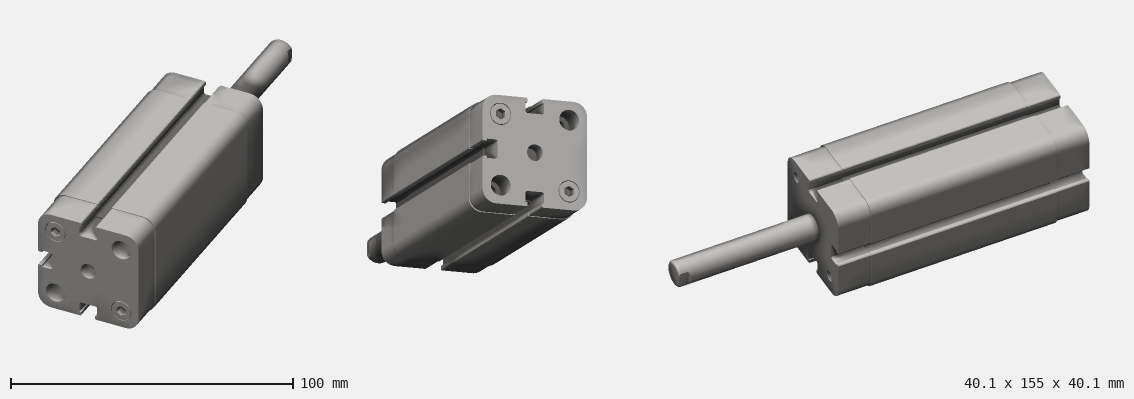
import cadquery as cq
import math

tube_width = 40.1
cap_width = 39.6
body_length = 99.7
rod_end = 155.0
cap_length = 13.0
tube_length = body_length - 2 * cap_length
cap_corner_radius = 5.1
tube_corner_radius = 4.8

tube_slot_mouth = 5.2
cap_slot_mouth = 5.5
slot_inner_width = 7.0
tube_slot_depth = 5.45
cap_slot_depth = 5.85
slot_lip = 1.8
slot_mouth_chamfer = 0.3
slot_floor_chamfer = 0.5

rod_diameter = 10.0
rod_flat_width = 8.0
rod_flat_length = 3.6
rod_end_radius = 1.0

corner_offset = 13.0
through_diameter = 4.13
counterbore_diameter = 7.5
counterbore_depth = 10.0
screw_pocket_diameter = 8.0
screw_head_diameter = 7.5
screw_pocket_depth = 4.5
hex_across_flats = 3.5
hex_depth = 3.0
port_diameter = 6.0
port_depth = 6.0

rod_cap_start = body_length - cap_length


def front_plane(y):
    """Sketch plane at position y along the axis: local x is X, local y is Z, normal is -Y."""
    return cq.Workplane("XZ", origin=(0, y, 0))


def cylinder(x, z, diameter, y_start, length):
    return front_plane(y_start).center(x, z).circle(diameter / 2).extrude(-length)


def rounded_block(width, radius, y_start, length):
    block = front_plane(y_start).rect(width, width).extrude(-length)
    return block.edges("|Y").fillet(radius)


def make_body():
    rear_cap = rounded_block(cap_width, cap_corner_radius, 0, cap_length)
    tube = rounded_block(tube_width, tube_corner_radius, cap_length, tube_length)
    rod_cap = rounded_block(cap_width, cap_corner_radius, rod_cap_start, cap_length)
    return rear_cap.union(tube).union(rod_cap)


def make_top_slot(face_width, mouth_width, depth, y_start, length):
    """T-slot cutter for the top face, with chamfered mouth edges and floor corners."""
    face = face_width / 2
    floor = tube_width / 2 - depth
    lip_bottom = tube_width / 2 - slot_lip
    mouth = mouth_width / 2
    inner = slot_inner_width / 2
    right_half = [
        (mouth + slot_mouth_chamfer, face),
        (mouth, face - slot_mouth_chamfer),
        (mouth, lip_bottom),
        (inner, lip_bottom),
        (inner, floor + slot_floor_chamfer),
        (inner - slot_floor_chamfer, floor),
    ]
    left_half = [(-x, z) for x, z in reversed(right_half)]
    return front_plane(y_start).polyline(right_half + left_half).close().extrude(-length)


def make_rod():
    radius = rod_diameter / 2
    rod = cylinder(0, 0, rod_diameter, body_length, rod_end - body_length)
    rod = rod.faces(">Y").edges().fillet(rod_end_radius)
    flat_x = rod_flat_width / 2
    flat_start = rod_end - rod_flat_length
    runout = radius - flat_x
    for side in (-1, 1):
        flat = (
            cq.Workplane("XY")
            .moveTo(side * flat_x, rod_end)
            .lineTo(side * flat_x, flat_start)
            .lineTo(side * radius, flat_start - runout)
            .lineTo(side * radius, rod_end)
            .close()
            .extrude(radius, both=True)
        )
        rod = rod.cut(flat)
    return rod


def make_screw(x, z):
    """Socket head screw, its head flush with the rear cap face."""
    head = cylinder(x, z, screw_head_diameter, 0, screw_pocket_depth)
    hex_corner_diameter = hex_across_flats / math.cos(math.radians(30))
    socket = (
        front_plane(0)
        .center(x, z)
        .transformed(rotate=(0, 0, 90))
        .polygon(6, hex_corner_diameter)
        .extrude(-hex_depth)
    )
    return head.cut(socket)


body = make_body()
top_slots = [
    make_top_slot(cap_width, cap_slot_mouth, cap_slot_depth, 0, cap_length),
    make_top_slot(tube_width, tube_slot_mouth, tube_slot_depth, cap_length, tube_length),
    make_top_slot(cap_width, cap_slot_mouth, cap_slot_depth, rod_cap_start, cap_length),
]
for slot_angle in (0, -90, 180):
    for top_slot in top_slots:
        body = body.cut(top_slot.rotate((0, 0, 0), (0, 1, 0), slot_angle))

for side in (-1, 1):
    hole_x = side * corner_offset
    body = body.cut(cylinder(hole_x, hole_x, through_diameter, 0, body_length))
    body = body.cut(cylinder(hole_x, hole_x, counterbore_diameter, 0, counterbore_depth))
    body = body.cut(cylinder(hole_x, -hole_x, screw_pocket_diameter, 0, screw_pocket_depth))
    body = body.union(make_screw(hole_x, -hole_x))

body = body.cut(cylinder(0, 0, port_diameter, 0, port_depth))

result = body.union(make_rod())